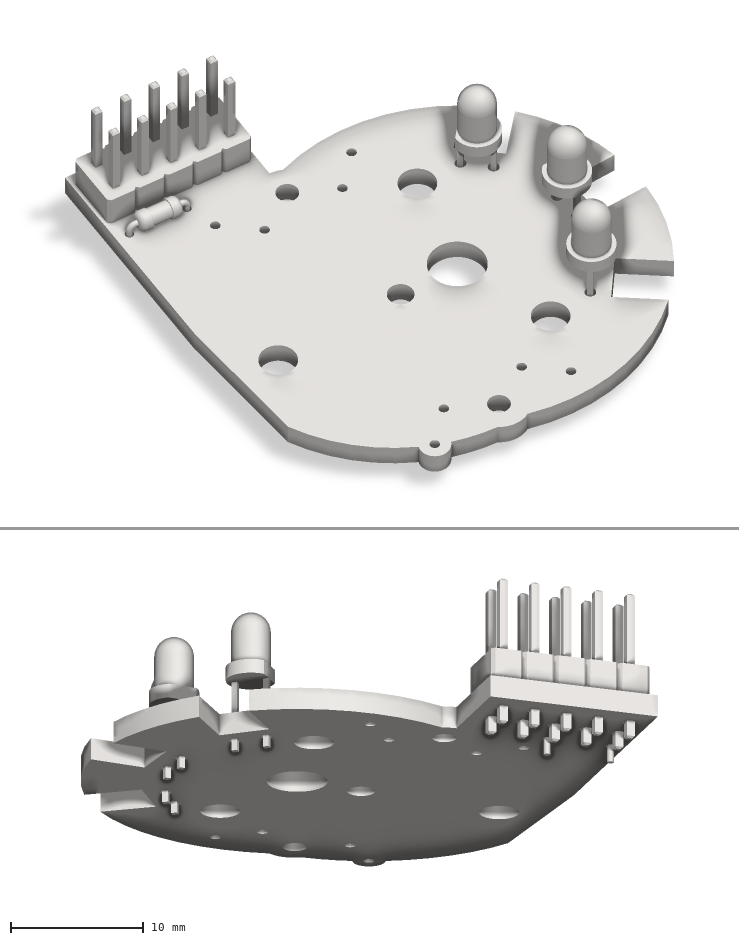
import cadquery as cq
import math


board_thickness = 1.7
board_tilt = 5.0

main_radius = 16.35
lower_radius = 15.45
lower_center_y = -6.0
tilted_edge_y = -20.24
side_hole_x = 13.5
side_ear_radius = 2.4
wire_hole_outer_x = 14.0
wire_hole_inner_x = 11.43
wire_hole_outer_dy = 6.37
wire_hole_inner_dy = 3.64
small_ear_radius = 1.25

tab_left = -22.96
tab_bottom = -20.68
tab_top = -7.26

center_hole_diameter = 4.6
mount_hole_diameter = 3.0
pivot_hole_diameter = 2.09
side_hole_diameter = 1.8
wire_hole_diameter = 0.8
led_hole_diameter = 0.9
resistor_hole_diameter = 0.7
pin_hole_diameter = 1.0

mount_hole_places = [(-8.5, 2.5), (8.5, 2.5), (0, -16.75)]
pivot_hole_place = (0, -5.3)

slot_width = 4.0
slot_floor_radius = 11.8
led_stations = [
    (board_tilt + 45, -0.10, -0.08, 10.30),
    (board_tilt, -0.05, 0.11, 10.18),
    (board_tilt - 40, 0.64, 0.98, 10.20),
]

led_radius = 1.5
led_flange_radius = 1.9
led_flange_height = 1.1
led_seat_z = board_thickness + 2.9
led_body_height = 3.9
led_lead_size = 0.45
led_lead_end_z = -0.85

pitch = 2.54
header_rows = 5
header_columns = 2
header_center = (-19.65, -14.03)
header_height = 2.54
header_chamfer = 0.25
pin_size = 0.64
pin_length = 11.54
pin_bottom_z = -1.3
pin_tip_chamfer = 0.15

resistor_center = (-15.46, -17.01)
resistor_lead_spacing = 2 * pitch
resistor_length = 3.7
resistor_cap_radius = 0.85
resistor_cap_length = 0.95
resistor_waist_radius = 0.73
resistor_cap_rounding = 0.45
resistor_wire_diameter = 0.5
resistor_bend_radius = 0.5
resistor_axis_z = board_thickness + resistor_cap_radius


def station_point(angle, sideways, distance):
    """Point at a distance along a direction turned from +Y, shifted across it."""
    turn = math.radians(angle)
    x = sideways * math.cos(turn) - distance * math.sin(turn)
    y = sideways * math.sin(turn) + distance * math.cos(turn)
    return (x, y)


def mirrored(x, y):
    return [(-x, y), (x, y)]


side_hole_places = mirrored(side_hole_x, lower_center_y)
wire_hole_places = []
for side in (-1, 1):
    wire_hole_places += mirrored(wire_hole_outer_x, lower_center_y + side * wire_hole_outer_dy)
    wire_hole_places += mirrored(wire_hole_inner_x, lower_center_y + side * wire_hole_inner_dy)
small_ear_place = (wire_hole_outer_x, lower_center_y - wire_hole_outer_dy)

led_lead_places = [
    station_point(angle, shift + side * pitch / 2, distance)
    for angle, _, shift, distance in led_stations
    for side in (-1, 1)
]
pin_places = [
    (
        header_center[0] + (column - (header_columns - 1) / 2) * pitch,
        header_center[1] + (row - (header_rows - 1) / 2) * pitch,
    )
    for column in range(header_columns)
    for row in range(header_rows)
]
resistor_lead_places = [
    (resistor_center[0], resistor_center[1] + side * resistor_lead_spacing / 2)
    for side in (-1, 1)
]


def discs(places, radius):
    return cq.Workplane("XY").pushPoints(places).circle(radius).extrude(board_thickness)


def plate(left, right, bottom, top):
    corner = cq.Workplane("XY").moveTo(left, bottom)
    return corner.lineTo(right, bottom).lineTo(right, top).lineTo(left, top).close().extrude(board_thickness)


def turned(shape, angle):
    return shape.rotate((0, 0, 0), (0, 0, 1), angle)


def rim_slot(angle, shift):
    beyond_rim = main_radius + slot_width
    slot = plate(shift - slot_width / 2, shift + slot_width / 2, slot_floor_radius, beyond_rim)
    return turned(slot, angle)


def make_board():
    round_part = discs([(0, 0)], main_radius).union(discs([(0, lower_center_y)], lower_radius))
    for place in side_hole_places:
        round_part = round_part.union(discs([place], side_ear_radius))
    round_part = round_part.union(discs([small_ear_place], small_ear_radius))
    board = turned(round_part, board_tilt).union(plate(tab_left, 0, tab_bottom, tab_top))

    reach = 2 * main_radius
    board = board.cut(plate(-reach, reach, -reach, tab_bottom))
    board = board.cut(turned(plate(-reach, reach, -reach, tilted_edge_y), board_tilt))

    for angle, slot_shift, _, _ in led_stations:
        board = board.cut(rim_slot(angle, slot_shift))

    tilted_holes = [
        ([(0, 0)], center_hole_diameter),
        (mount_hole_places, mount_hole_diameter),
        ([pivot_hole_place], pivot_hole_diameter),
        (side_hole_places, side_hole_diameter),
        (wire_hole_places, wire_hole_diameter),
    ]
    for places, diameter in tilted_holes:
        board = board.cut(turned(discs(places, diameter / 2), board_tilt))

    component_holes = [
        (led_lead_places, led_hole_diameter),
        (pin_places, pin_hole_diameter),
        (resistor_lead_places, resistor_hole_diameter),
    ]
    for places, diameter in component_holes:
        board = board.cut(discs(places, diameter / 2))
    return board


def make_led(angle, shift, distance):
    """Domed LED whose flange is flat on the side of one lead, flush with the body."""
    dome_base = led_body_height
    dome_top = dome_base + led_radius
    dome_middle = (led_radius * math.sin(math.pi / 4), dome_base + led_radius * math.cos(math.pi / 4))
    lens = (
        cq.Workplane("XZ")
        .lineTo(led_radius, 0)
        .lineTo(led_radius, dome_base)
        .threePointArc(dome_middle, (0, dome_top))
        .close()
        .revolve(360, (0, 0, 0), (0, 1, 0))
    )
    flat_half = math.sqrt(led_flange_radius**2 - led_radius**2)
    flange = (
        cq.Workplane("XY")
        .moveTo(-led_radius, -flat_half)
        .threePointArc((led_flange_radius, 0), (-led_radius, flat_half))
        .close()
        .extrude(led_flange_height)
    )
    leads = (
        cq.Workplane("XY")
        .pushPoints([(-pitch / 2, 0), (pitch / 2, 0)])
        .rect(led_lead_size, led_lead_size)
        .extrude(led_lead_end_z - led_seat_z)
    )
    led = turned(lens.union(flange).union(leads), angle)
    x, y = station_point(angle, shift, distance)
    return led.translate((x, y, led_seat_z))


def make_header():
    """Plastic strip of chamfered two-pin blocks, with its square pins."""
    header = cq.Workplane("XY")
    for row in range(header_rows):
        row_y = header_center[1] + (row - (header_rows - 1) / 2) * pitch
        block = (
            cq.Workplane("XY")
            .box(header_columns * pitch, pitch, header_height, centered=(True, True, False))
            .edges("|Z")
            .chamfer(header_chamfer)
            .translate((header_center[0], row_y, board_thickness))
        )
        header = header.union(block)

    for x, y in pin_places:
        pin = (
            cq.Workplane("XY")
            .box(pin_size, pin_size, pin_length, centered=(True, True, False))
            .faces("<Z or >Z")
            .chamfer(pin_tip_chamfer)
            .translate((x, y, pin_bottom_z))
        )
        header = header.union(pin)
    return header


def make_resistor():
    """Round body along Y with two rounded end caps, on one wire bent down at both ends."""
    half_length = resistor_length / 2
    waist_half = half_length - resistor_cap_length
    body = (
        cq.Workplane("XZ")
        .circle(resistor_waist_radius)
        .extrude(waist_half, both=True)
    )
    for side, end_face in ((-1, "<Y"), (1, ">Y")):
        cap = (
            cq.Workplane("XZ", origin=(0, side * waist_half, 0))
            .circle(resistor_cap_radius)
            .extrude(-side * resistor_cap_length)
            .faces(end_face)
            .edges()
            .fillet(resistor_cap_rounding)
        )
        body = body.union(cap)

    lead_y = resistor_lead_spacing / 2
    bend_start = lead_y - resistor_bend_radius
    bend_middle_y = bend_start + resistor_bend_radius * math.sin(math.pi / 4)
    bend_middle_z = resistor_bend_radius * (math.cos(math.pi / 4) - 1)
    lead_end_z = pin_bottom_z - resistor_axis_z
    path = (
        cq.Workplane("YZ")
        .moveTo(-lead_y, lead_end_z)
        .lineTo(-lead_y, -resistor_bend_radius)
        .threePointArc((-bend_middle_y, bend_middle_z), (-bend_start, 0))
        .lineTo(bend_start, 0)
        .threePointArc((bend_middle_y, bend_middle_z), (lead_y, -resistor_bend_radius))
        .lineTo(lead_y, lead_end_z)
    )
    wire = (
        cq.Workplane("XY", origin=(0, -lead_y, lead_end_z))
        .circle(resistor_wire_diameter / 2)
        .sweep(path)
    )
    x, y = resistor_center
    return body.union(wire).translate((x, y, resistor_axis_z))


board = make_board()
header = make_header()
resistor = make_resistor()
leds = [make_led(angle, shift, distance) for angle, _, shift, distance in led_stations]

result = cq.Compound.makeCompound([
    board.val(),
    header.val(),
    resistor.val(),
    *[led.val() for led in leds],
])